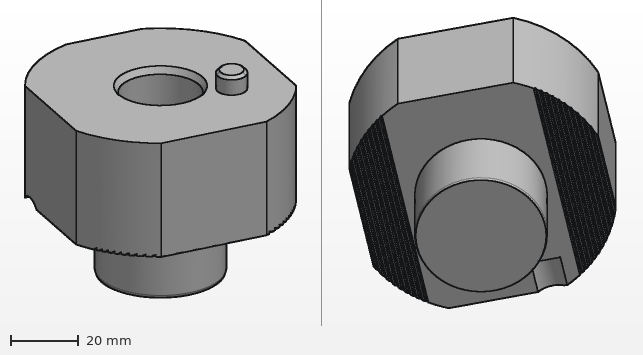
import cadquery as cq
import math

body_radius = 39.95
body_height = 37.0
left_flat = 37.95
right_flat = 36.05
body_width = 72.0
side_flat = body_width / 2

spigot_diameter = 39.0
spigot_length = 23.0
spigot_chamfer_height = 1.0
spigot_chamfer_inset = 0.3

bore_diameter = 25.0
bore_depth = body_height
bore_chamfer_inset = 1.25
bore_chamfer_height = 2.15

pin_distance = 21.0
pin_angle = 60.0
pin_half_length = 5.0
pin_half_width = 4.65
pin_corner_length = 1.8
pin_corner_width = 4.4
pin_height = 6.0
pin_chamfer = 1.0

serration_pitch = 1.5
serration_width = 0.9
serration_depth = 0.6
serration_start = 23.2
left_serrations = 11
right_serrations = 9

relief_x = -14.0
relief_radius = 5.7
relief_height = 2.15
relief_depth = 10.35


def make_body():
    disc = cq.Workplane("XY").circle(body_radius).extrude(body_height)
    flats = cq.Workplane("XY").box(
        left_flat + right_flat, body_width, body_height, centered=(False, True, False)
    )
    return disc.intersect(flats.translate((-left_flat, 0, 0)))


def make_spigot():
    spigot = cq.Workplane("XY").circle(spigot_diameter / 2).extrude(-spigot_length)
    rim = cq.Workplane("XZ").polyline([
        (spigot_diameter / 2 - spigot_chamfer_inset, -spigot_length),
        (spigot_diameter / 2, -spigot_length),
        (spigot_diameter / 2, -spigot_length + spigot_chamfer_height),
    ]).close().revolve(360, (0, 0, 0), (0, 1, 0))
    return spigot.cut(rim)


def make_bore():
    radius = bore_diameter / 2
    floor = body_height - bore_depth
    return cq.Workplane("XZ").polyline([
        (0, floor),
        (radius, floor),
        (radius, body_height - bore_chamfer_height),
        (radius + bore_chamfer_inset, body_height),
        (0, body_height),
    ]).close().revolve(360, (0, 0, 0), (0, 1, 0))


def make_pin():
    length, width = pin_corner_length, pin_corner_width
    pin = (
        cq.Workplane("XY")
        .moveTo(-length, width)
        .threePointArc((0, pin_half_width), (length, width))
        .threePointArc((pin_half_length, 0), (length, -width))
        .threePointArc((0, -pin_half_width), (-length, -width))
        .threePointArc((-pin_half_length, 0), (-length, width))
        .close()
        .extrude(pin_height)
        .faces(">Z").chamfer(pin_chamfer)
    )
    angle = math.radians(pin_angle)
    place = (pin_distance * math.cos(angle), pin_distance * math.sin(angle), body_height)
    return pin.rotate((0, 0, 0), (0, 0, 1), pin_angle - 90).translate(place)


def make_serration(x):
    return cq.Workplane("XZ").polyline([
        (x - serration_width / 2, 0),
        (x, serration_depth),
        (x + serration_width / 2, 0),
    ]).close().extrude(body_radius, both=True)


def make_relief():
    return (
        cq.Workplane("XZ", origin=(0, -side_flat, 0))
        .center(relief_x, relief_height - relief_radius)
        .circle(relief_radius)
        .extrude(-relief_depth)
    )


body = make_body().cut(make_relief())
for index in range(left_serrations):
    body = body.cut(make_serration(-serration_start - index * serration_pitch))
for index in range(right_serrations):
    body = body.cut(make_serration(serration_start + index * serration_pitch))

result = body.union(make_spigot()).cut(make_bore()).union(make_pin())